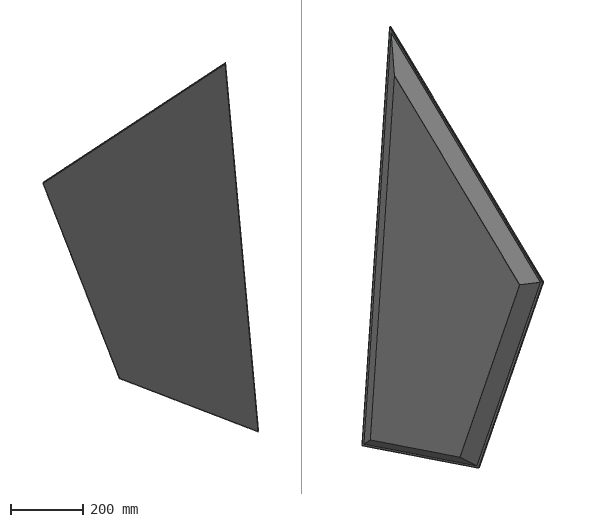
import cadquery as cq

width = 617.12
height = 1489.76
total_depth = 38.08

plate_thickness = 5.0
ledge = 6.5
back_inset = 48.8

top_corner = (522.5, height)
left_corner = (0.0, 837.8)
lower_left_corner = (219.2, 99.2)
lower_right_corner = (width, 0.0)
plate_corners = [top_corner, left_corner, lower_left_corner, lower_right_corner]


def plate_outline(y):
    """Closed outline of the plate on the plane at the given Y."""
    return cq.Wire.makePolygon([cq.Vector(x, y, z) for x, z in plate_corners], close=True)


def inset_outline(y, inset):
    """Plate outline at the given Y with every side moved inward by the inset, corners kept sharp."""
    return plate_outline(y).offset2D(-inset, "intersection")[0]


def make_plate():
    """Flat plate with square edges, its front face at Y = 0."""
    return cq.Solid.extrudeLinear(plate_outline(0), [], cq.Vector(0, plate_thickness, 0))


def make_block():
    """Block on the back of the plate, its four sides sloping inward toward +Y."""
    front = inset_outline(plate_thickness, ledge)
    back = inset_outline(total_depth, back_inset)
    return cq.Solid.makeLoft([front, back], True)


plate = make_plate()
block = make_block()

result = cq.Compound.makeCompound([plate, block])